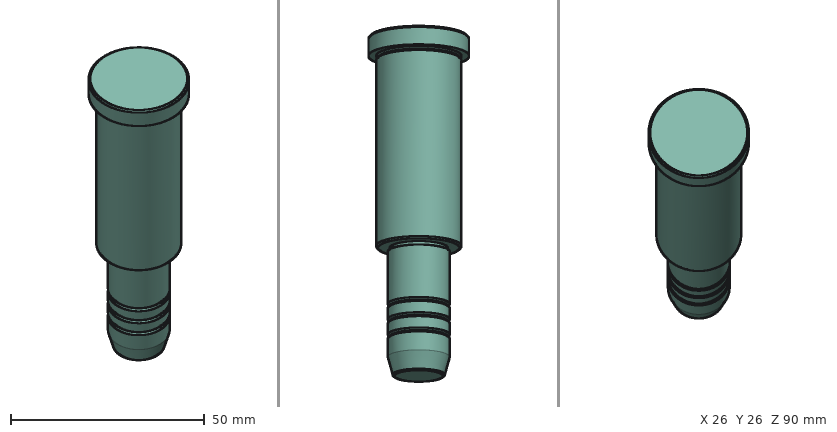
import cadquery as cq

total_length = 90.0
edge_chamfer = 0.495

head_radius = 26.0 / 2
head_height = 5.0
body_radius = 22.05 / 2
body_bottom = 34.0
neck_radius = 15.0 / 2
neck_height = 1.0
pin_radius = 16.0 / 2

tip_height = 5.0
tip_end_radius = 6.7
tip_chamfer = 0.4

groove_depth = 0.5
lowest_groove = 10.4
groove_pitch = 4.05
groove_count = 3

head_bottom = total_length - head_height
body_length = head_bottom - body_bottom
neck_bottom = body_bottom - neck_height


def cylinder(radius, bottom, height):
    return cq.Workplane("XY").workplane(offset=bottom).circle(radius).extrude(height)


def v_groove(radius, center_height):
    """Ring of triangular section, pointing inward from the given radius."""
    return (
        cq.Workplane("XZ")
        .moveTo(radius, center_height - groove_depth)
        .lineTo(radius - groove_depth, center_height)
        .lineTo(radius, center_height + groove_depth)
        .close()
        .revolve(360, (0, 0, 0), (0, 1, 0))
    )


def tapered_tip():
    return (
        cq.Workplane("XZ")
        .lineTo(tip_end_radius, 0)
        .lineTo(pin_radius, tip_height)
        .lineTo(0, tip_height)
        .close()
        .revolve(360, (0, 0, 0), (0, 1, 0))
        .faces("<Z")
        .chamfer(tip_chamfer)
    )


head = cylinder(head_radius, head_bottom, head_height).faces(">Z").chamfer(edge_chamfer)

body = cylinder(body_radius, body_bottom, body_length).faces("<Z").chamfer(edge_chamfer)
body = body.cut(v_groove(body_radius, head_bottom - groove_depth))

neck = cylinder(neck_radius, neck_bottom, neck_height)

pin = cylinder(pin_radius, tip_height, neck_bottom - tip_height)
for index in range(groove_count):
    pin = pin.cut(v_groove(pin_radius, lowest_groove + index * groove_pitch))

result = head.union(body).union(neck).union(pin).union(tapered_tip())